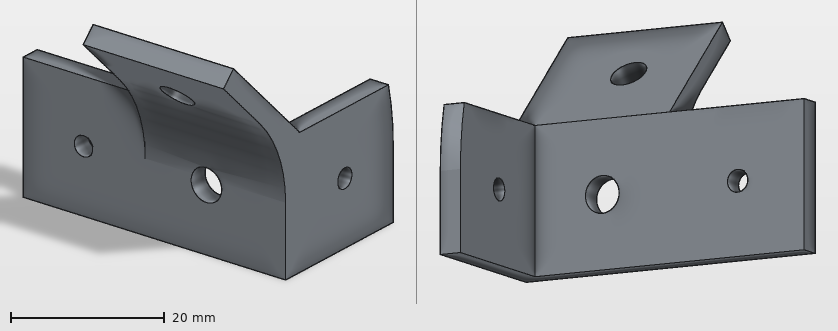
import cadquery as cq
import math

length = 43.0
height = 20.0
thickness = 3.0
flange_width = 23.0
flange_reach = 20.0
flange_angle = 45.0
bend_radius = 18.7
wing_reach = 20.0
wing_top_setback = 1.05
wing_curve_start = 11.0
small_hole = 3.0
large_hole = 5.0
hole_height = height / 2
plate_hole_x = 9.9
wing_hole_y = 9.65

flange_start_x = length - flange_width
flange_center_x = length - 13.0
sine = math.sin(math.radians(flange_angle))
cosine = math.cos(math.radians(flange_angle))


def along_flange(distance, depth=0.0):
    """Return (y, z) at a distance up the flange and a depth below its upper face."""
    return (
        -distance * sine - depth * cosine,
        height + distance * cosine - depth * sine,
    )


def make_plate():
    """Upright plate whose back face lies on Y = 0."""
    return cq.Workplane("XY").box(length, thickness, height, centered=False).translate((0, -thickness, 0))


def make_flange():
    """Leaning flange blended into the front face by a large-radius arc."""
    half_angle = math.radians(flange_angle / 2)
    tangent_length = bend_radius * math.tan(half_angle)
    corner_z = height - thickness * math.tan(half_angle)
    bend_low = (-thickness, corner_z - tangent_length)
    bend_middle = (
        -thickness - bend_radius * (1 - math.cos(half_angle)),
        bend_low[1] + bend_radius * math.sin(half_angle),
    )
    bend_high = (-thickness - tangent_length * sine, corner_z + tangent_length * cosine)
    return (
        cq.Workplane("YZ", origin=(flange_start_x, 0, 0))
        .moveTo(0, height)
        .lineTo(*along_flange(flange_reach))
        .lineTo(*along_flange(flange_reach, thickness))
        .lineTo(*bend_high)
        .threePointArc(bend_middle, bend_low)
        .lineTo(0, bend_low[1])
        .close()
        .extrude(flange_width)
    )


def make_wing():
    """Side wall whose rear edge curves inward toward the top."""
    curve_rise = height - wing_curve_start
    curve_radius = (curve_rise**2 + wing_top_setback**2) / (2 * wing_top_setback)
    half_sweep = math.asin(curve_rise / curve_radius) / 2
    curve_middle = (
        wing_reach - curve_radius * (1 - math.cos(half_sweep)),
        wing_curve_start + curve_radius * math.sin(half_sweep),
    )
    return (
        cq.Workplane("YZ", origin=(length - thickness, 0, 0))
        .moveTo(-thickness, 0)
        .lineTo(wing_reach, 0)
        .lineTo(wing_reach, wing_curve_start)
        .threePointArc(curve_middle, (wing_reach - wing_top_setback, height))
        .lineTo(-thickness, height)
        .close()
        .extrude(thickness)
    )


def drill(center, direction, diameter, depth):
    """Cylinder centred on a point, reaching depth to either side."""
    axis = cq.Vector(*direction).normalized()
    base = cq.Vector(*center) - axis * depth
    return cq.Workplane(cq.Solid.makeCylinder(diameter / 2, 2 * depth, base, axis))


bracket = make_plate().union(make_flange()).union(make_wing())

flange_hole_y, flange_hole_z = along_flange(flange_reach / 2)
holes = [
    ((plate_hole_x, 0, hole_height), (0, 1, 0), small_hole),
    ((flange_center_x, 0, hole_height), (0, 1, 0), large_hole),
    ((length, wing_hole_y, hole_height), (1, 0, 0), small_hole),
    ((flange_center_x, flange_hole_y, flange_hole_z), (0, sine, cosine), large_hole),
]
drill_depth = 2 * thickness
for center, direction, diameter in holes:
    bracket = bracket.cut(drill(center, direction, diameter, drill_depth))

result = bracket